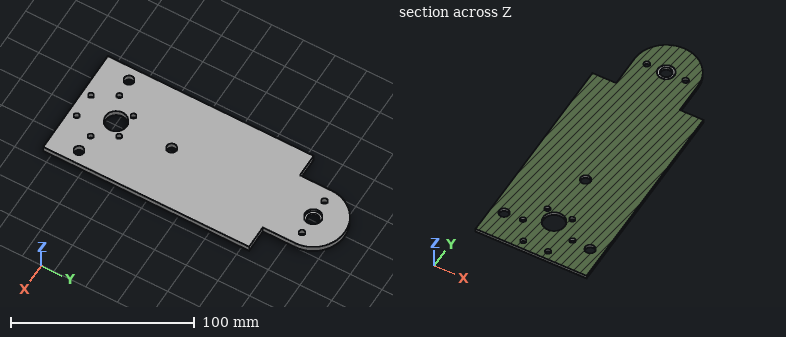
import cadquery as cq
import math

total_length = 170.0
body_width = 69.5
thickness = 4.0
tab_width = 40.0
tab_radius = tab_width / 2
tab_straight = 20.0
tab_center_y = total_length - tab_radius
body_length = tab_center_y - tab_straight

pivot_diameter = 7.0
pivot_bore_diameter = 10.0
pivot_bore_depth = thickness / 2
tab_hole_diameter = 3.5
tab_hole_offset = 12.0

motor_center_y = 18.7
motor_screw_count = 6
motor_screw_radius = 15.5
motor_screw_diameter = 3.2
shaft_offset = 7.0
shaft_diameter = 13.3

mount_diameter = 6.0
mount_offset = 26.9
mount_y = 18.0
middle_hole_y = 60.7


def make_plate():
    half_body = body_width / 2
    return (
        cq.Workplane("XY")
        .moveTo(-half_body, 0)
        .lineTo(half_body, 0)
        .lineTo(half_body, body_length)
        .lineTo(tab_radius, body_length)
        .lineTo(tab_radius, tab_center_y)
        .threePointArc((0, total_length), (-tab_radius, tab_center_y))
        .lineTo(-tab_radius, body_length)
        .lineTo(-half_body, body_length)
        .close()
        .extrude(thickness)
    )


def hole_cutter(points, diameter, floor=0.0):
    """Cylinders from the given floor height up to the top face."""
    return (
        cq.Workplane("XY", origin=(0, 0, floor))
        .pushPoints(points)
        .circle(diameter / 2)
        .extrude(thickness - floor)
    )


def motor_screw_points():
    angles = [2 * math.pi * i / motor_screw_count for i in range(motor_screw_count)]
    return [
        (motor_screw_radius * math.cos(a), motor_center_y + motor_screw_radius * math.sin(a))
        for a in angles
    ]


pivot = [(0, tab_center_y)]
tab_holes = [(side * tab_hole_offset, tab_center_y) for side in (-1, 1)]
mount_holes = [(side * mount_offset, mount_y) for side in (-1, 1)]
mount_holes.append((0, middle_hole_y))

result = (
    make_plate()
    .cut(hole_cutter(pivot, pivot_diameter))
    .cut(hole_cutter(pivot, pivot_bore_diameter, thickness - pivot_bore_depth))
    .cut(hole_cutter(tab_holes, tab_hole_diameter))
    .cut(hole_cutter(motor_screw_points(), motor_screw_diameter))
    .cut(hole_cutter([(0, motor_center_y + shaft_offset)], shaft_diameter))
    .cut(hole_cutter(mount_holes, mount_diameter))
)